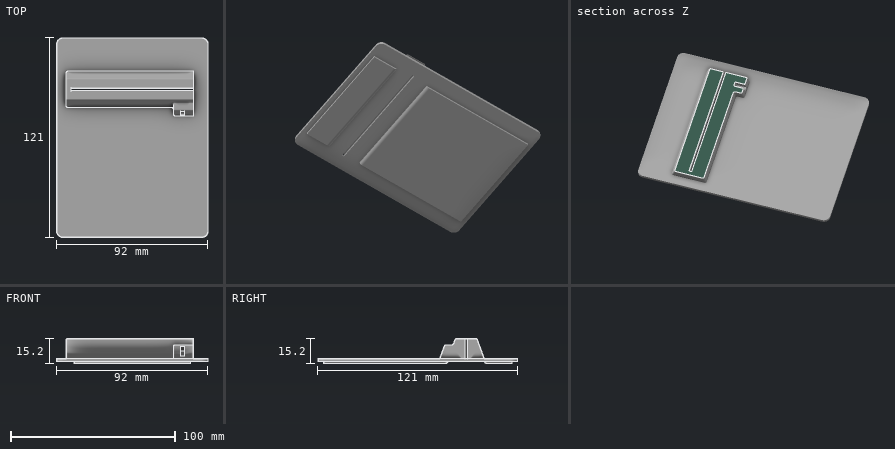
import cadquery as cq
import math

plate_width = 92.0
plate_length = 121.0
plate_thickness = 1.8
plate_corner_radius = 4.0

pad_thickness = 1.2
pad_width = 70.7
pad_length = 114.2
pad_edge_radius = 2.4

housing_left = -40.2
housing_right = 37.0
housing_center_y = 29.3
housing_base_depth = 22.0
housing_height = 12.2
draft_angle = 20.0
edge_radius = 1.0

slot_width = 1.3
slot_end_wall = 3.0
slot_edge_radius = 0.5

block_left = 24.9
block_front = 13.2
block_height = 8.5

nut_across_flats = 5.7
nut_thickness = 2.7
nut_center_x = 30.4
nut_center_y = 17.8
nut_center_height = 4.6

margin = 0.1

plate_bottom = pad_thickness
plate_top = plate_bottom + plate_thickness
housing_top = plate_top + housing_height
draft_slope = math.tan(math.radians(draft_angle))
half_base_depth = housing_base_depth / 2
half_top_depth = half_base_depth - housing_height * draft_slope
housing_front = housing_center_y - half_base_depth
housing_back = housing_center_y + half_base_depth

block_top = plate_top + block_height
block_top_front = block_front + block_height * draft_slope
block_top_back = housing_front + block_height * draft_slope

slot_left = housing_left + slot_end_wall
slot_front = housing_center_y - slot_width / 2
slot_back = housing_center_y + slot_width / 2


def make_pads():
    """Two pads under the plate, with rounded edges along the gap below the housing."""
    gap_half_top = half_base_depth
    edge_run = math.sqrt(pad_edge_radius**2 - (pad_edge_radius - pad_thickness) ** 2)
    gap_half_bottom = gap_half_top + edge_run
    gap = (
        cq.Workplane("YZ", origin=(-pad_width / 2, housing_center_y, 0))
        .moveTo(-gap_half_top, pad_thickness)
        .lineTo(gap_half_top, pad_thickness)
        .radiusArc((gap_half_bottom, 0), -pad_edge_radius)
        .lineTo(-gap_half_bottom, 0)
        .radiusArc((-gap_half_top, pad_thickness), -pad_edge_radius)
        .close()
        .extrude(pad_width)
    )
    return cq.Workplane("XY").rect(pad_width, pad_length).extrude(pad_thickness).cut(gap)


def make_card_slot():
    """Upright slot through the full height, from the slot's left end to the right end of the housing."""
    return cq.Workplane("XY").box(
        housing_right - slot_left, slot_width, housing_top, centered=False
    ).translate((slot_left, slot_front, 0))


def make_plate():
    """Plate with the pads below and the card slot through it."""
    plate = (
        cq.Workplane("XY", origin=(0, 0, plate_bottom))
        .rect(plate_width, plate_length)
        .extrude(plate_thickness)
        .edges("|Z")
        .fillet(plate_corner_radius)
    )
    return plate.union(make_pads()).cut(make_card_slot())


def edges_between(low, high):
    """Selects the edges whose centers lie in the box between two corners."""
    return cq.selectors.BoxSelector(low, high)


def make_holder():
    """Bar along X with leaning front and back walls, rounded except at its base and right end."""
    rounded_edges = edges_between(
        (housing_left - margin, housing_front, plate_top + margin),
        (housing_right - margin, housing_back, housing_top + margin),
    )
    return (
        cq.Workplane("YZ", origin=(housing_left, housing_center_y, plate_top))
        .moveTo(-half_base_depth, 0)
        .lineTo(half_base_depth, 0)
        .lineTo(half_top_depth, housing_height)
        .lineTo(-half_top_depth, housing_height)
        .close()
        .extrude(housing_right - housing_left)
        .edges(rounded_edges)
        .fillet(edge_radius)
    )


def add_block(holder):
    """Adds the block at the right of the front wall, with rounded edges and a rounded joint."""
    block = (
        cq.Workplane("YZ", origin=(block_left, 0, plate_top))
        .moveTo(block_front, 0)
        .lineTo(housing_center_y, 0)
        .lineTo(housing_center_y, block_height)
        .lineTo(block_top_front, block_height)
        .close()
        .extrude(housing_right - block_left)
    )
    rounded_edges = edges_between(
        (block_left - margin, block_front, plate_top + margin),
        (housing_right - margin, block_top_back + margin, block_top + margin),
    )
    return holder.union(block).edges(rounded_edges).fillet(edge_radius)


def cut_card_slot(housing):
    """Cuts the card slot and rounds the two long edges of its mouth."""
    mouth_edges = edges_between(
        (slot_left + margin, slot_front - margin, housing_top - margin),
        (housing_right - margin, slot_back + margin, housing_top + margin),
    )
    return housing.cut(make_card_slot()).edges(mouth_edges).fillet(slot_edge_radius)


def make_nut_trap():
    """Hexagonal pocket with its axis along X, open to the front of the block."""
    nut_corner_diameter = nut_across_flats / math.cos(math.pi / 6)
    nut_side = (nut_center_x - nut_thickness / 2, nut_center_y, plate_top + nut_center_height)
    entry_length = nut_center_y - block_front
    hexagon = cq.Workplane("YZ", origin=nut_side).polygon(6, nut_corner_diameter).extrude(nut_thickness)
    entry = (
        cq.Workplane("YZ", origin=nut_side)
        .center(-entry_length / 2, 0)
        .rect(entry_length, nut_across_flats)
        .extrude(nut_thickness)
    )
    return hexagon.union(entry)


def make_housing():
    """Card holder standing on the plate, with the block, the card slot and the nut trap."""
    return cut_card_slot(add_block(make_holder())).cut(make_nut_trap())


plate = make_plate()
housing = make_housing()
result = cq.Compound.makeCompound([plate.solids().val(), housing.solids().val()])